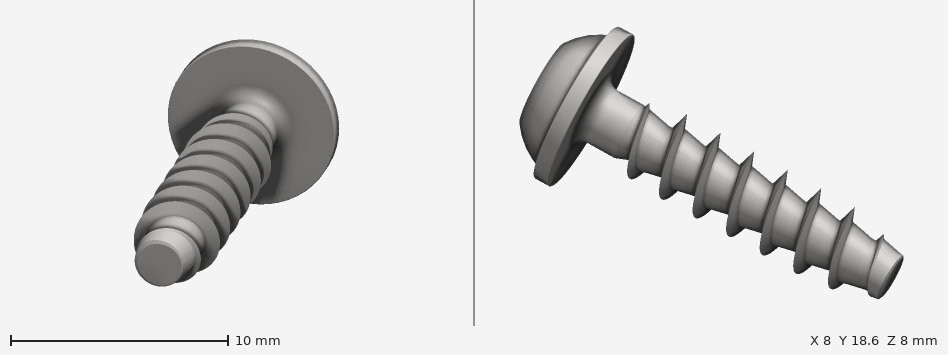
import cadquery as cq
import math

length = 18.6

head_top_radius = 2.15
dome_radius = 3.72
flange_radius = 4.0
flange_top = 1.8
flange_bottom = 2.6
flange_edge_fillet = 0.05
dome_center = math.sqrt(dome_radius**2 - head_top_radius**2)
dome_mid_depth = flange_top / 2

shank_radius = 1.4
neck_fillet = 0.61
shank_end = 4.61
core_radius = 1.12
taper_length = 0.75
tip_radius = 1.05
tip_bevel_slope = 0.5

pitch = 1.79
first_crest_depth = 4.7
first_turn = -0.25
last_turn = 7.75
crest_radius = 2.0
start_radius = 1.6
start_growth = 0.54
end_shrink = 0.58
end_fade_turn = 6.25
ramp_top_radius = 1.35
ramp_length = 1.25
upper_flank = 0.28
lower_flank = 0.25
embed_radius = core_radius - 0.02
min_crest_height = 0.02
segment_turns = 0.5
points_per_segment = 12


def dome_radius_at(depth):
    return math.sqrt(dome_radius**2 - (dome_center - depth) ** 2)


def make_body():
    """Head, flange, neck and smooth core, revolved about Y."""
    neck_radius = shank_radius + neck_fillet
    fillet_inset = neck_fillet * (1 - math.sqrt(0.5))
    body = (
        cq.Workplane("XY")
        .lineTo(head_top_radius, 0)
        .threePointArc(
            (dome_radius_at(dome_mid_depth), -dome_mid_depth),
            (dome_radius_at(flange_top), -flange_top),
        )
        .lineTo(flange_radius, -flange_top)
        .lineTo(flange_radius, -flange_bottom)
        .lineTo(neck_radius, -flange_bottom)
        .threePointArc(
            (shank_radius + fillet_inset, -flange_bottom - fillet_inset),
            (shank_radius, -flange_bottom - neck_fillet),
        )
        .lineTo(shank_radius, -shank_end)
        .lineTo(core_radius, -shank_end - taper_length)
        .lineTo(core_radius, -length)
        .lineTo(0, -length)
        .close()
        .revolve(360, (0, 0, 0), (0, 1, 0))
    )
    flange_rims = cq.selectors.BoxSelector(
        (-flange_radius - 0.19, -flange_bottom - 0.19, -flange_radius - 0.19),
        (flange_radius + 0.19, -flange_top + 0.19, flange_radius + 0.19),
    )
    rims = [
        edge
        for edge in body.edges(flange_rims).vals()
        if edge.geomType() == "CIRCLE" and abs(edge.radius() - flange_radius) < flange_edge_fillet
    ]
    return body.newObject(rims).fillet(flange_edge_fillet)


def thread_section(turn):
    """Section corners: upper root, crest, lower root and the toe of the tapering core ramp."""
    crest = min(
        crest_radius,
        start_radius + start_growth * turn,
        crest_radius - end_shrink * (turn - end_fade_turn),
    )
    lower_root = min(ramp_top_radius, crest - min_crest_height)
    size = (crest - embed_radius) / (crest_radius - embed_radius)
    depth = first_crest_depth + pitch * turn
    angle = 2 * math.pi * turn
    corners = (
        (embed_radius, depth - upper_flank * size),
        (crest, depth),
        (lower_root, depth + lower_flank * size),
        (embed_radius, depth + lower_flank * size + ramp_length),
    )
    return [cq.Vector(r * math.cos(angle), -d, r * math.sin(angle)) for r, d in corners]


def make_thread():
    """Helical ridge and ramp, closed by ruled faces and trimmed to the threaded length."""
    segments = round((last_turn - first_turn) / segment_turns)
    faces = []
    for segment in range(segments):
        start = first_turn + segment * segment_turns
        sections = [
            thread_section(start + segment_turns * i / points_per_segment)
            for i in range(points_per_segment + 1)
        ]
        helices = [cq.Edge.makeSpline(list(track)) for track in zip(*sections)]
        for i, helix in enumerate(helices):
            faces.append(cq.Face.makeRuledSurface(helix, helices[(i + 1) % len(helices)]))
    for turn in (first_turn, last_turn):
        faces.append(cq.Face.makeFromWires(cq.Wire.makePolygon(thread_section(turn), close=True)))
    ridge = cq.Solid.makeSolid(cq.Shell.makeShell(faces)).fix()
    threaded_zone = cq.Solid.makeCylinder(
        flange_radius, length - shank_end, cq.Vector(0, -shank_end, 0), cq.Vector(0, -1, 0)
    )
    return cq.Workplane(obj=ridge).intersect(cq.Workplane(obj=threaded_zone))


def make_tip_bevel():
    """Conical ring that bevels the rim of the tip."""
    outer_radius = shank_radius
    bevel_depth = (outer_radius - tip_radius) * tip_bevel_slope
    return (
        cq.Workplane("XY")
        .polyline([(tip_radius, -length), (outer_radius, bevel_depth - length), (outer_radius, -length)])
        .close()
        .revolve(360, (0, 0, 0), (0, 1, 0))
    )


result = make_body().union(make_thread()).cut(make_tip_bevel())